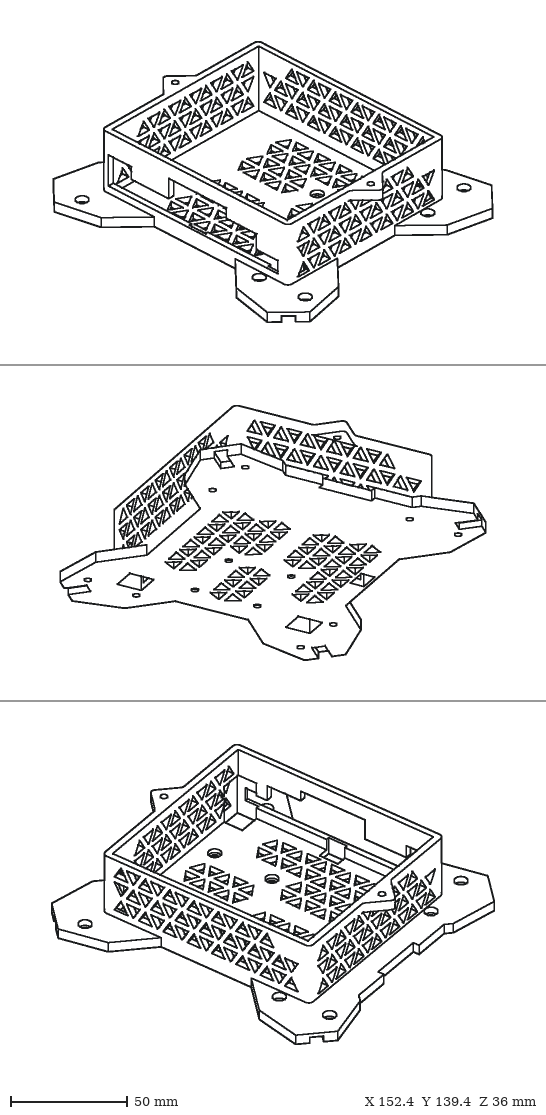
import cadquery as cq
import math

total_length = 152.4
total_width = 139.4
total_height = 36.0
plate_thickness = 5.0
floor_thickness = 3.0

box_length = 110.6
box_width = 97.0
side_wall = 3.4
end_wall = 3.0
box_corner_radius = 2.3
inner_length = box_length - 2 * side_wall
inner_width = box_width - 2 * end_wall

arm_reach = total_length / 2
arm_tip_x = 63.2
arm_tip_y = total_width / 2
arm_shoulder_x = 40.2
arm_shoulder_y = 64.8
arm_axis_shift = arm_reach - arm_tip_y
arm_tip_center_x = (arm_tip_x + arm_reach) / 2
arm_tip_center_y = arm_tip_center_x - arm_axis_shift
arm_root_y = 15.2

strip_edge = 68.4
strip_half_width = 33.5
strip_notch_depth = 3.0
strip_notch_width = 25.5

tip_slot_width = 6.0
tip_slot_height = 3.0
tip_slot_depth = 10.0

screw_diameter = 3.0
head_diameter = 6.0
arm_seat_height = 2.0
floor_seat_height = 1.0
arm_screw_offsets = [(13.7, 3.2), (11.3, 28.2)]
board_center_x = 27.0
board_screw_spacing = 30.5

lug_thickness = 5.0
lug_half_width = 10.0
lug_tip_radius = 2.0
lug_root_radius = 2.5
lug_hole_x = 58.0

vent_side = 7.0
vent_height = vent_side * math.sqrt(3) / 2
vent_gap = 6.0
vent_row_gap = 2.9
vent_pitch = (vent_side + vent_gap) / 2
vent_row_pitch = vent_height + vent_row_gap
side_vent_columns = 13
side_vent_z = 9.9
back_vent_columns = 15
back_vent_z = 11.9
wall_vent_rows = 3
top_row_skipped = 2
floor_vent_y = 35.5
long_floor_row = 9
short_floor_row = 5
board_vent_rows = 2
board_vent_x = 28.3
board_vent_y = 5.2

corner_hole_length = 9.8
corner_hole_width = 10.2
recess_depth = 1.5
recess_height = 22.1

cable_slot_length = 9.8
cable_slot_width = 5.0

window_bottom = 8.7
window_left = -51.3
window_steps = [(-37.6, 24.5), (-15.5, 18.1), (18.6, 28.5), (36.5, 23.3), (49.2, 15.4)]


def block(x_range, y_range, z_range):
    size = [high - low for low, high in (x_range, y_range, z_range)]
    return cq.Workplane("XY").box(*size, centered=False).translate((x_range[0], y_range[0], z_range[0]))


def mirrored_about_arm_axis(point):
    return (point[1] + arm_axis_shift, point[0] - arm_axis_shift)


def arm():
    """Arm towards +X +Y; both flanks run at 45 degrees back under the box."""
    run = arm_shoulder_y - arm_root_y
    upper_side = [
        (arm_shoulder_x - run, arm_root_y),
        (arm_shoulder_x, arm_shoulder_y),
        (arm_tip_x, arm_tip_y),
    ]
    lower_side = [mirrored_about_arm_axis(point) for point in reversed(upper_side)]
    return cq.Workplane("XY").polyline(upper_side + lower_side).close().extrude(plate_thickness)


def at_four_corners(body):
    left = body.mirror("YZ")
    return [body, left, body.mirror("XZ"), left.mirror("XZ")]


def base_plate():
    strip = block((-strip_edge, 0), (-strip_half_width, strip_half_width), (0, plate_thickness))
    notch = block(
        (-strip_edge, strip_notch_depth - strip_edge),
        (-strip_notch_width / 2, strip_notch_width / 2),
        (0, plate_thickness),
    )
    plate = strip.cut(notch)
    for corner_arm in at_four_corners(arm()):
        plate = plate.union(corner_arm)
    return plate


def box_body():
    blank = cq.Workplane("XY").rect(box_length, box_width).extrude(total_height)
    return blank.edges("|Z").fillet(box_corner_radius)


def box_cavity():
    return (
        cq.Workplane("XY", origin=(0, 0, floor_thickness))
        .rect(inner_length, inner_width)
        .extrude(total_height - floor_thickness)
    )


def lug():
    """Triangular ear on the +X side, starting inside the wall so that its roots can be rounded."""
    face = box_length / 2
    root = face - side_wall
    wide = lug_half_width + 2 * lug_root_radius
    outline = [
        (root, -wide),
        (face, -wide),
        (face, -lug_half_width),
        (face + lug_half_width, 0),
        (face, lug_half_width),
        (face, wide),
        (root, wide),
    ]
    ear = cq.Workplane("XY", origin=(0, 0, total_height - lug_thickness))
    ear = ear.polyline(outline).close().extrude(lug_thickness)
    ear = ear.edges("|Z and >X").fillet(lug_tip_radius)
    middle = total_height - lug_thickness / 2
    for y in (-lug_half_width, lug_half_width):
        ear = ear.edges(cq.NearestToPointSelector((face, y, middle))).fillet(lug_root_radius)
    return ear


def screw_hole(x, y, seat_height):
    shaft = cq.Workplane("XY", origin=(x, y, 0)).circle(screw_diameter / 2).extrude(plate_thickness)
    head = cq.Workplane("XY", origin=(x, y, seat_height)).circle(head_diameter / 2).extrude(plate_thickness)
    return shaft.union(head).val()


def screw_holes():
    holes = []
    for near, far in arm_screw_offsets:
        places = [
            (arm_tip_center_x - near, arm_tip_center_y - far),
            (far - arm_tip_center_x, arm_tip_center_y - near),
        ]
        for x, y in places:
            holes.append(screw_hole(x, y, arm_seat_height))
            holes.append(screw_hole(-x, -y, arm_seat_height))
    half = board_screw_spacing / 2
    for dx in (-half, half):
        for y in (-half, half):
            holes.append(screw_hole(board_center_x + dx, y, floor_seat_height))
    return holes


def tip_slots():
    slot = (
        cq.Workplane("XY")
        .rect(2 * tip_slot_depth, tip_slot_width)
        .extrude(tip_slot_height)
        .rotate((0, 0, 0), (0, 0, 1), 45)
        .translate((arm_tip_center_x, arm_tip_center_y, 0))
    )
    return [corner_slot.val() for corner_slot in at_four_corners(slot)]


def vent_row(plane, center, height, columns, first_up, depth):
    """Alternating triangles in one row, with columns counted in pitches from the center."""
    vents = []
    for index, column in enumerate(columns):
        points_up = (index % 2 == 0) == first_up
        tip = vent_height / 2 if points_up else -vent_height / 2
        x = center + column * vent_pitch
        corners = [
            (x - vent_side / 2, height - tip),
            (x + vent_side / 2, height - tip),
            (x, height + tip),
        ]
        vents.append(cq.Workplane(plane).polyline(corners).close().extrude(depth).val())
    return vents


def centered_columns(count):
    return [index - (count - 1) / 2 for index in range(count)]


def floor_vents():
    vents = []
    row_lengths = [long_floor_row, long_floor_row, short_floor_row, short_floor_row]
    for row, count in enumerate(row_lengths):
        y = floor_vent_y - row * vent_row_pitch
        columns = centered_columns(long_floor_row)[:count]
        vents += vent_row("XY", 0, y, columns, row % 2 == 0, plate_thickness)
        vents += vent_row("XY", 0, -y, columns, row % 2 == 1, plate_thickness)
    for row in range(board_vent_rows):
        y = board_vent_y - row * vent_row_pitch
        columns = centered_columns(short_floor_row)
        vents += vent_row("XY", board_vent_x, y, columns, row == 0, plate_thickness)
    return vents


def wall_vents(wall_plane, column_count, bottom_row_z):
    """Rows of vents; the top one starts later, which leaves one upper corner of the wall closed."""
    vents = []
    for row in range(wall_vent_rows):
        columns = centered_columns(column_count)
        if row == wall_vent_rows - 1:
            columns = columns[top_row_skipped:]
        height = bottom_row_z + row * vent_row_pitch
        vents += vent_row(wall_plane, 0, height, columns, row % 2 == 0, side_wall)
    return vents


def box_vents():
    back = cq.Plane(origin=(0, box_width / 2, 0), xDir=(1, 0, 0), normal=(0, -1, 0))
    left = cq.Plane(origin=(-box_length / 2, 0, 0), xDir=(0, 1, 0), normal=(1, 0, 0))
    right = cq.Plane(origin=(box_length / 2, 0, 0), xDir=(0, -1, 0), normal=(-1, 0, 0))
    vents = wall_vents(back, back_vent_columns, back_vent_z)
    for plane in (left, right):
        vents += wall_vents(plane, side_vent_columns, side_vent_z)
    return vents


def corner_openings():
    opening = block(
        (inner_length / 2 - corner_hole_length, inner_length / 2 + recess_depth),
        (inner_width / 2 - corner_hole_width, inner_width / 2 + recess_depth),
        (0, recess_height),
    )
    return [opening.val(), opening.mirror("XZ").val()]


def cable_slot():
    return block(
        (-cable_slot_length / 2, cable_slot_length / 2),
        (-inner_width / 2 - recess_depth, cable_slot_width - inner_width / 2),
        (0, recess_height),
    ).val()


def connector_window():
    outline = [(window_left, window_bottom)]
    x = window_left
    for next_x, top in window_steps:
        outline += [(x, top), (next_x, top)]
        x = next_x
    outline.append((x, window_bottom))
    front = cq.Workplane("XZ", origin=(0, -inner_width / 2, 0))
    return front.polyline(outline).close().extrude(end_wall).val()


def lug_holes():
    points = [(-lug_hole_x, 0), (lug_hole_x, 0)]
    holes = cq.Workplane("XY", origin=(0, 0, total_height - lug_thickness))
    return holes.pushPoints(points).circle(screw_diameter / 2).extrude(lug_thickness).vals()


body = base_plate().union(box_body()).union(lug()).union(lug().mirror("YZ")).cut(box_cavity())
openings = screw_holes() + tip_slots() + floor_vents() + box_vents() + corner_openings() + lug_holes()
openings += [cable_slot(), connector_window()]
result = cq.Workplane("XY").newObject([body.val().cut(*openings)])